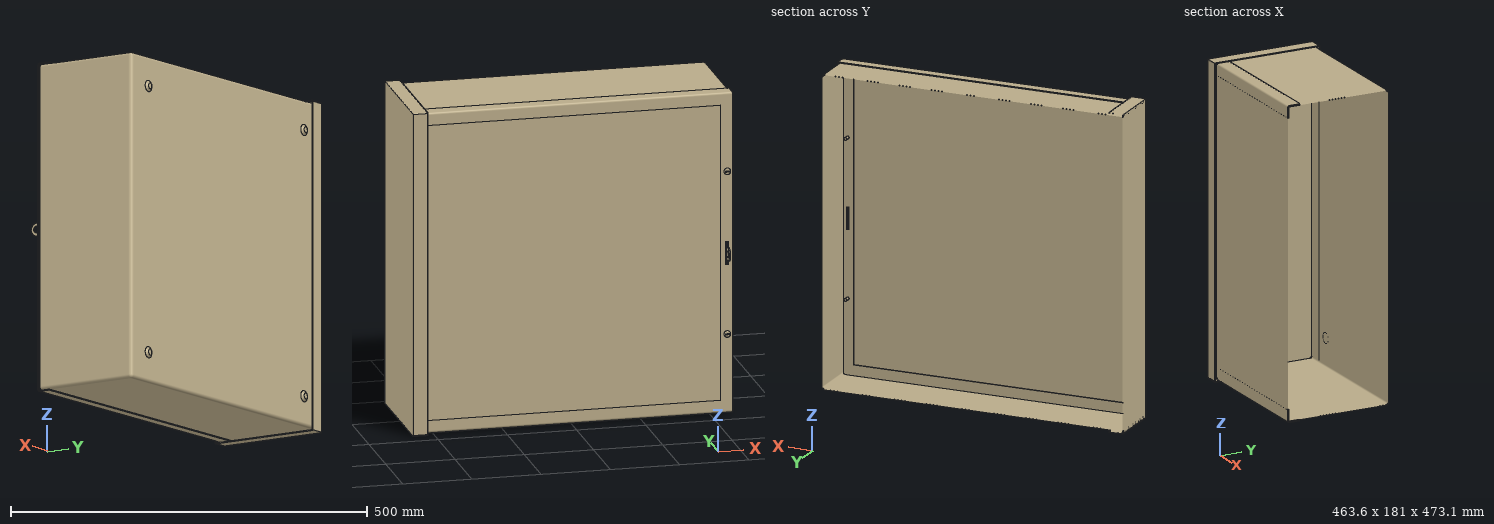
import cadquery as cq


LENGTH = 463.56
DEPTH = 180.96
HEIGHT = 473.07

SHEET = 1.52
CAP_BEND = 1.9
COVER_BEND = 3.8
BODY_BEND = 5.0

CAP_LENGTH = 22.2
CAP_BACK = 1.6
CAP_FRONT = 169.3

COVER_FRONT = 164.5
COVER_BACK = 145.0
COVER_TUCK = 3.0
COVER_START = CAP_LENGTH - COVER_TUCK
COVER_HALF = HEIGHT / 2 - SHEET

BODY_BACK = CAP_BACK + SHEET
BODY_FRONT = COVER_FRONT - SHEET
BODY_HALF = COVER_HALF - SHEET
FLANGE_WIDTH = 17.5
BENT_EDGES = "(>Y and (not <X)) or (|Y and >X)"

PAD_SPACING = 381.0
PAD_CENTRE_X = 232.5
PAD_TOP_DIAMETER = 8.5
PAD_BASE_DIAMETER = 16.0

FASTENER_X = LENGTH - 7.94
SCREW_Z = 119.06
SCREW_HEAD_DIAMETER = 9.53
SCREW_HEAD_HEIGHT = 2.2
SCREW_HEAD_ROUND = 1.6
SCREW_SHANK_DIAMETER = 4.17
SCREW_SHANK_LENGTH = 10.0
DRIVE_SLOT_LENGTH = 5.8
DRIVE_SLOT_WIDTH = 1.2
DRIVE_SLOT_DEPTH = 1.0

HASP_Z = -0.8
HASP_THICKNESS = 1.9
HASP_DIAMETER = 19.05
HASP_HOLE_DIAMETER = 9.53
HASP_CENTRE_DEPTH = DEPTH - HASP_DIAMETER / 2
HASP_BASE_LENGTH = 30.0
HASP_SLOT_LENGTH = 33.3
HASP_SLOT_WIDTH = 3.96


def block(x_range, depth_range, half_height):
    """Box between two X positions and two depths, centred on Z = 0."""
    size_x = x_range[1] - x_range[0]
    size_y = depth_range[1] - depth_range[0]
    return (
        cq.Workplane("XY", origin=(x_range[0], -depth_range[1], -half_height))
        .box(size_x, size_y, 2 * half_height, centered=False)
    )


def rod(diameter, depth_start, depth_end, z):
    """Cylinder square to the wall, on the fastener line."""
    return (
        cq.Workplane("XZ", origin=(FASTENER_X, -depth_start, z))
        .circle(diameter / 2)
        .extrude(depth_end - depth_start)
    )


def mounting_pad(x, z):
    """Tapered pad that reaches from the back wall to Y = 0."""
    return (
        cq.Workplane("XZ", origin=(x, 0, z))
        .circle(PAD_TOP_DIAMETER / 2)
        .workplane(offset=BODY_BACK)
        .circle(PAD_BASE_DIAMETER / 2)
        .loft()
    )


def make_body():
    start_x = SHEET
    shell = block((start_x, LENGTH), (BODY_BACK, BODY_FRONT), BODY_HALF)
    shell = shell.edges(BENT_EDGES).fillet(BODY_BEND)
    shell = shell.edges("<Y and |X").fillet(COVER_BEND - SHEET)
    cavity = block(
        (start_x, LENGTH - SHEET), (BODY_BACK + SHEET, BODY_FRONT - SHEET), BODY_HALF - SHEET
    )
    cavity = cavity.edges(BENT_EDGES).fillet(BODY_BEND - SHEET)
    opening = block(
        (start_x + FLANGE_WIDTH, LENGTH - FLANGE_WIDTH),
        (BODY_FRONT - 2 * SHEET, BODY_FRONT),
        BODY_HALF - FLANGE_WIDTH,
    )
    body = shell.cut(cavity).cut(opening)
    for x_side in (-1, 1):
        for z_side in (-1, 1):
            pad_x = PAD_CENTRE_X + x_side * PAD_SPACING / 2
            body = body.union(mounting_pad(pad_x, z_side * PAD_SPACING / 2))
    for z_side in (-1, 1):
        body = body.cut(rod(SCREW_SHANK_DIAMETER, BODY_BACK + SHEET, COVER_FRONT, z_side * SCREW_Z))
    return body


def make_cap():
    pan = block((0, CAP_LENGTH), (CAP_BACK, CAP_FRONT), HEIGHT / 2)
    pan = pan.edges("|X or <X").fillet(CAP_BEND)
    inside = block(
        (SHEET, CAP_LENGTH), (CAP_BACK + SHEET, CAP_FRONT - SHEET), HEIGHT / 2 - SHEET
    )
    return pan.cut(inside)


def make_cover():
    outside = block((COVER_START, LENGTH), (COVER_BACK, COVER_FRONT), COVER_HALF)
    outside = outside.edges("<Y and |X").fillet(COVER_BEND)
    inside = block((COVER_START, LENGTH), (COVER_BACK, BODY_FRONT), BODY_HALF)
    inside = inside.edges("<Y and |X").fillet(COVER_BEND - SHEET)
    cover = outside.cut(inside)
    slot = cq.Workplane("XY", origin=(FASTENER_X, -COVER_FRONT, HASP_Z)).box(
        HASP_SLOT_WIDTH, 2 * SHEET, HASP_SLOT_LENGTH
    )
    cover = cover.cut(slot)
    for z_side in (-1, 1):
        cover = cover.cut(rod(SCREW_SHANK_DIAMETER, COVER_BACK, COVER_FRONT, z_side * SCREW_Z))
    return cover


def make_hasp():
    """Flat tab on the body flange: a base in the cover slot, a rounded end and a padlock hole."""
    radius = HASP_DIAMETER / 2
    half_base = HASP_BASE_LENGTH / 2
    return (
        cq.Workplane("YZ", origin=(FASTENER_X - HASP_THICKNESS / 2, 0, HASP_Z))
        .moveTo(-BODY_FRONT, -half_base)
        .lineTo(-COVER_FRONT, -half_base)
        .lineTo(-COVER_FRONT, -radius)
        .lineTo(-HASP_CENTRE_DEPTH, -radius)
        .threePointArc((-DEPTH, 0), (-HASP_CENTRE_DEPTH, radius))
        .lineTo(-COVER_FRONT, radius)
        .lineTo(-COVER_FRONT, half_base)
        .lineTo(-BODY_FRONT, half_base)
        .close()
        .moveTo(-HASP_CENTRE_DEPTH, 0)
        .circle(HASP_HOLE_DIAMETER / 2)
        .extrude(HASP_THICKNESS)
    )


def make_screw(z):
    head_top = COVER_FRONT + SCREW_HEAD_HEIGHT
    head = rod(SCREW_HEAD_DIAMETER, COVER_FRONT, head_top, z)
    head = head.faces("<Y").edges().fillet(SCREW_HEAD_ROUND)
    drive_slot = cq.Workplane("XY", origin=(FASTENER_X, -head_top, z)).box(
        DRIVE_SLOT_LENGTH, 2 * DRIVE_SLOT_DEPTH, DRIVE_SLOT_WIDTH
    )
    shank = rod(SCREW_SHANK_DIAMETER, COVER_FRONT - SCREW_SHANK_LENGTH, COVER_FRONT, z)
    return head.cut(drive_slot).union(shank)


body = make_body()
cap = make_cap()
cover = make_cover()
hasp = make_hasp()
screws = [make_screw(side * SCREW_Z) for side in (-1, 1)]

result = cq.Compound.makeCompound(
    [body.val(), cap.val(), cover.val(), hasp.val(), *[screw.val() for screw in screws]]
)